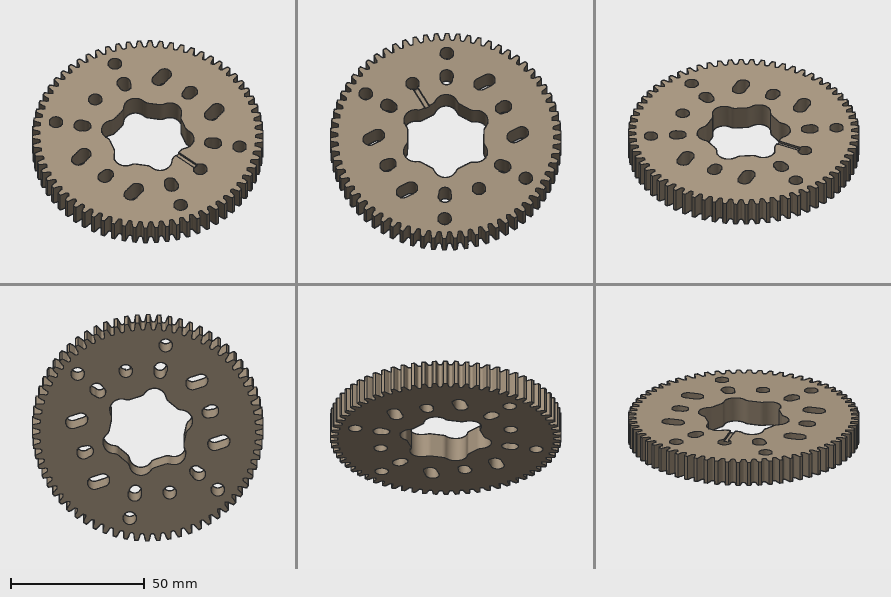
import cadquery as cq
import math

tooth_count = 66
tip_radius = 43.2
pressure_angle = math.radians(14.5)
thickness = 9.5
module = 2 * tip_radius / (tooth_count + 2)
pitch_radius = module * tooth_count / 2
base_radius = pitch_radius * math.cos(pressure_angle)
dedendum = 1.25 * module
root_radius = pitch_radius - dedendum
flank_start_radius = 41.0
flank_steps = 4
first_tooth_angle = math.pi / 2

bore_across_flats = 28.4
lobe_circle_radius = 13.0
lobe_radius = 4.4
bore_fillet = 2.8

hole_diameter = 5.0
small_hole_diameter = 4.5
bolt_circle_radius = 25.4
inner_bolt_circle_radius = 23.8
outer_bolt_circle_radius = 34.8
waist_fillet = 3.45
slot_offset_x = bolt_circle_radius / 2
slot_offset_y = 23.75
slot_length = 8.5

groove_width = 1.8
groove_depth = 0.9


def polar(radius, angle):
    return (radius * math.cos(angle), radius * math.sin(angle))


def involute(angle):
    return math.tan(angle) - angle


def half_tooth_angle(radius):
    """Angle from the tooth centre line to its flank at the given radius."""
    roll = math.acos(base_radius / radius)
    return math.pi / (2 * tooth_count) + involute(pressure_angle) - involute(roll)


def gear_blank():
    pitch_angle = 2 * math.pi / tooth_count
    flank_step = (tip_radius - flank_start_radius) / flank_steps
    flank_radii = [flank_start_radius + step * flank_step for step in range(flank_steps + 1)]

    start_angle = first_tooth_angle - half_tooth_angle(flank_start_radius)
    outline = cq.Workplane("XY").moveTo(*polar(flank_start_radius, start_angle))
    for tooth in range(tooth_count):
        centre = first_tooth_angle + tooth * pitch_angle
        next_centre = centre + pitch_angle
        rising = [polar(r, centre - half_tooth_angle(r)) for r in flank_radii]
        falling = [polar(r, centre + half_tooth_angle(r)) for r in reversed(flank_radii)]
        root_middle = polar(root_radius, centre + pitch_angle / 2)
        next_flank = polar(flank_start_radius, next_centre - half_tooth_angle(flank_start_radius))
        outline = (
            outline.spline(rising[1:], includeCurrent=True)
            .threePointArc(polar(tip_radius, centre), falling[0])
            .spline(falling[1:], includeCurrent=True)
            .threePointArc(root_middle, next_flank)
        )
    return outline.close().extrude(thickness)


def cylinders(points, diameter):
    return cq.Workplane("XY").pushPoints(points).circle(diameter / 2).extrude(thickness)


def lobed_bore():
    hexagon = (
        cq.Workplane("XY")
        .transformed(rotate=(0, 0, 30))
        .polygon(6, bore_across_flats / math.cos(math.pi / 6))
        .extrude(thickness)
    )
    lobes = (
        cq.Workplane("XY")
        .polarArray(lobe_circle_radius, 30, 360, 6)
        .circle(lobe_radius)
        .extrude(thickness)
    )
    corner_limit = lobe_circle_radius + lobe_radius / 2
    return (
        hexagon.union(lobes)
        .edges("|Z")
        .filter(lambda edge: math.hypot(edge.Center().x, edge.Center().y) < corner_limit)
        .fillet(bore_fillet)
    )


def bolt_holes():
    corner_angles = [math.radians(angle) for angle in (30, 150, 210, 330)]
    points = [polar(outer_bolt_circle_radius, angle) for angle in corner_angles]
    points += [(bolt_circle_radius, 0), (-bolt_circle_radius, 0)]
    return cylinders(points, hole_diameter)


def double_holes():
    """Six pairs of overlapping holes on two bolt circles, with the waist rounded off."""
    pair = (
        cylinders([(bolt_circle_radius, 0)], hole_diameter)
        .union(cylinders([(inner_bolt_circle_radius, 0)], small_hole_diameter))
        .edges("|Z")
        .edges(">Y or <Y")
        .fillet(waist_fillet)
    )
    pairs = cq.Workplane("XY")
    for index in range(6):
        pairs = pairs.add(pair.rotate((0, 0, 0), (0, 0, 1), 30 + 60 * index))
    return pairs.combine()


def slots():
    return (
        cq.Workplane("XY")
        .rect(2 * slot_offset_x, 2 * slot_offset_y, forConstruction=True)
        .vertices()
        .slot2D(slot_length, hole_diameter, 90)
        .extrude(thickness)
    )


def timing_groove():
    return (
        cq.Workplane("XY", origin=(0, 0, thickness - groove_depth))
        .center(bolt_circle_radius / 2, 0)
        .rect(bolt_circle_radius, groove_width)
        .extrude(groove_depth)
    )


result = gear_blank()
for opening in (lobed_bore(), bolt_holes(), double_holes(), slots(), timing_groove()):
    result = result.cut(opening)